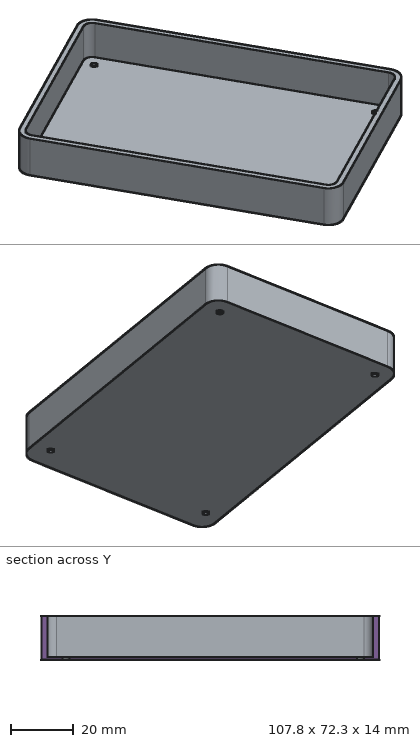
import cadquery as cq

length = 107.8
width = 72.3
height = 14.0
corner_radius = 5.0

wall = 2.0
floor = 1.0
inner_radius = corner_radius - wall

hole_diameter = 2.2
hole_spacing_x = 93.8
hole_spacing_y = 60.4
hole_pattern_x = -1.0
hole_pattern_y = -0.3


def rounded_block(size_x, size_y, size_z, radius):
    """Block standing on Z = 0 with rounded vertical edges."""
    block = cq.Workplane("XY").box(size_x, size_y, size_z, centered=(True, True, False))
    return block.edges("|Z").fillet(radius)


body = rounded_block(length, width, height, corner_radius)
pocket = rounded_block(length - 2 * wall, width - 2 * wall, height - floor, inner_radius)
tray = body.cut(pocket.translate((0, 0, floor)))

holes = (
    cq.Workplane("XY")
    .center(hole_pattern_x, hole_pattern_y)
    .rect(hole_spacing_x, hole_spacing_y, forConstruction=True)
    .vertices()
    .circle(hole_diameter / 2)
    .extrude(floor)
)

result = tray.cut(holes)